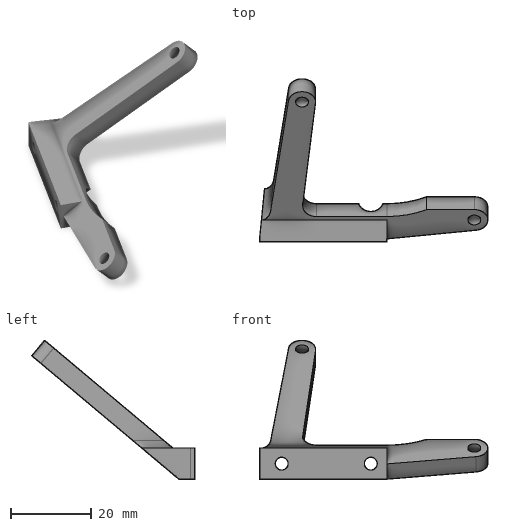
import cadquery as cq
import math

slope = 40.0
plate_thickness = 5.0
end_radius = 3.38
end_hole_diameter = 3.2
overall_length = 56.85

block_length = 31.7
block_height = 7.85
block_base_depth = 3.9
side_flat_depth = 1.0
side_taper = 5.6

bolt_xs = (5.5, 27.7)
bolt_diameter = 3.1
counterbore_diameter = 6.2
counterbore_floor = block_base_depth

arm_x = 10.6
arm_s = 50.5
arm_left_lean = 7.1
arm_right_lean = 5.5
web_edge_s = 13.3
inner_corner_radius = 3.4
outer_corner_radius = 2.0
flange_s = 12.15
flange_shoulder_x = 41.6
flange_taper = 7.2

sin_slope = math.sin(math.radians(slope))
cos_slope = math.cos(math.radians(slope))
tan_slope = sin_slope / cos_slope
flange_x = overall_length - end_radius
front_face_y = block_base_depth - plate_thickness / sin_slope
block_top_s = block_height / sin_slope
block_top_depth = block_base_depth + block_height / tan_slope


def end_point(x, s, angle):
    """Point on the rounded end centred at (x, s)."""
    a = math.radians(angle)
    return (x + end_radius * math.cos(a), s + end_radius * math.sin(a))


arm_right = end_point(arm_x, arm_s, -arm_right_lean)
corner_x = arm_right[0] - (arm_right[1] - web_edge_s) * math.tan(math.radians(arm_right_lean))

plate_plane = cq.Plane(
    origin=(0, front_face_y, 0),
    xDir=(1, 0, 0),
    normal=(0, -sin_slope, cos_slope),
)


def make_block():
    block = (
        cq.Workplane("YZ")
        .polyline([
            (0, 0),
            (block_base_depth, 0),
            (block_top_depth, block_height),
            (0, block_height),
        ])
        .close()
        .extrude(block_length)
    )
    taper_run = block_top_depth - side_flat_depth
    side_cut = (
        cq.Workplane("XY")
        .polyline([
            (0, side_flat_depth),
            (taper_run * math.tan(math.radians(side_taper)), block_top_depth),
            (0, block_top_depth),
        ])
        .close()
        .extrude(block_height)
    )
    return block.cut(side_cut)


def make_plate():
    arm_left = end_point(arm_x, arm_s, 180 - arm_left_lean)
    flange_low = end_point(flange_x, flange_s, flange_taper - 90)

    left_foot_x = arm_left[0] - (arm_left[1] - block_top_s) * math.tan(math.radians(arm_left_lean))
    flange_root_s = flange_low[1] - (flange_low[0] - block_length) * math.tan(math.radians(flange_taper))

    flange_top_s = flange_s + end_radius

    web_filler_x = corner_x + 2 * inner_corner_radius

    plate = (
        cq.Workplane(plate_plane)
        .moveTo(left_foot_x, block_top_s)
        .lineTo(*arm_left)
        .threePointArc(end_point(arm_x, arm_s, 90), arm_right)
        .lineTo(web_filler_x, web_edge_s)
        .lineTo(block_length, web_edge_s)
        .tangentArcPoint((flange_shoulder_x, flange_top_s), relative=False)
        .lineTo(flange_x, flange_top_s)
        .threePointArc(end_point(flange_x, flange_s, 0), flange_low)
        .lineTo(block_length, flange_root_s)
        .lineTo(block_length, block_top_s)
        .close()
        .extrude(-plate_thickness)
    )
    end_holes = (
        cq.Workplane(plate_plane)
        .pushPoints([(arm_x, arm_s), (flange_x, flange_s)])
        .circle(end_hole_diameter / 2)
        .extrude(-plate_thickness)
    )
    return plate.cut(end_holes)


def make_corner_clearance():
    """Space between the arm and the web edge, with a rounded inner corner."""
    clearance = (
        cq.Workplane(plate_plane)
        .moveTo(corner_x, web_edge_s)
        .lineTo(*arm_right)
        .lineTo(block_length, arm_right[1])
        .lineTo(block_length, web_edge_s)
        .close()
        .extrude(-plate_thickness)
    )
    corner = plate_plane.toWorldCoords((corner_x, web_edge_s, -plate_thickness / 2))
    return clearance.edges(cq.NearestToPointSelector(corner.toTuple())).fillet(inner_corner_radius)


def fillet_arm_root(body):
    """Round the corner between the top of the block and the left side of the arm."""
    root_x = arm_x - end_radius - (arm_s - block_top_s) * math.tan(math.radians(arm_left_lean))
    root_y = (front_face_y + block_height / tan_slope + block_top_depth) / 2
    root_edge = cq.NearestToPointSelector((root_x, root_y, block_height))
    return body.edges(root_edge).fillet(outer_corner_radius)


def bolt_cylinders(diameter, start_y):
    return (
        cq.Workplane("XZ", origin=(0, start_y, 0))
        .pushPoints([(x, block_height / 2) for x in bolt_xs])
        .circle(diameter / 2)
        .extrude(start_y - block_top_depth)
    )


bracket = make_block().union(make_plate()).cut(make_corner_clearance())
bracket = fillet_arm_root(bracket)
bracket = bracket.cut(bolt_cylinders(bolt_diameter, 0))
result = bracket.cut(bolt_cylinders(counterbore_diameter, counterbore_floor))